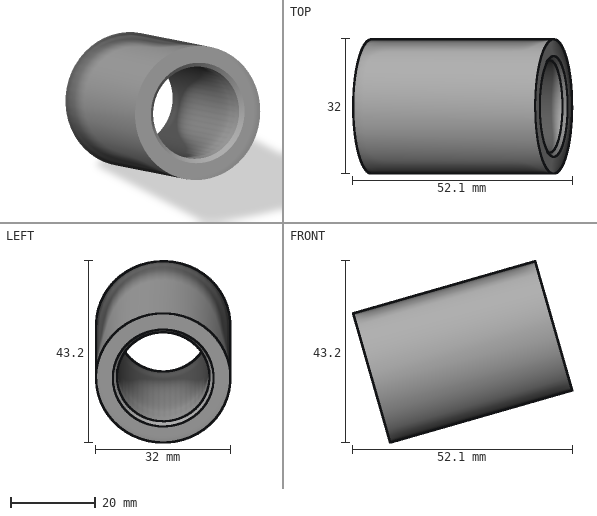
import cadquery as cq
import math

overall_x = 52.1
outer_diameter = 32.0
bore_diameter = 22.0
bore_chamfer = 1.0
tilt_angle = 16

tilt = math.radians(tilt_angle)
length = (overall_x - outer_diameter * math.sin(tilt)) / math.cos(tilt)

sleeve = (
    cq.Workplane("YZ", origin=(-length / 2, 0, 0))
    .circle(outer_diameter / 2)
    .circle(bore_diameter / 2)
    .extrude(length)
)

bore_rims = cq.selectors.RadiusNthSelector(0)
sleeve = sleeve.faces("<X or >X").edges(bore_rims).chamfer(bore_chamfer)

result = sleeve.rotate((0, 0, 0), (0, 1, 0), -tilt_angle)